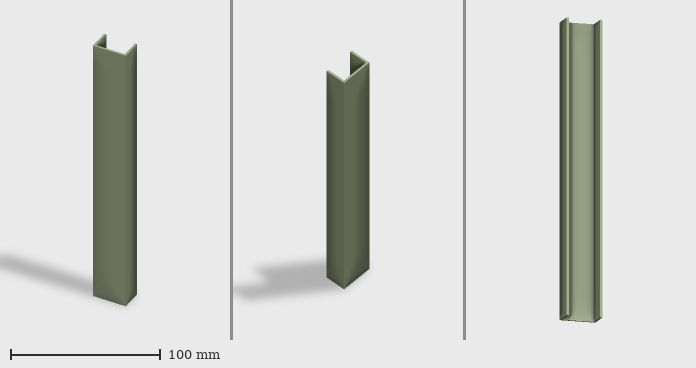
import cadquery as cq

length = 204.0
width = 25.0
depth = 16.0
wall = 1.6

inner_width = width - 2 * wall
inner_depth = depth - wall

outer_bar = cq.Workplane("XY").box(width, depth, length, centered=(True, False, False))

channel = (
    cq.Workplane("XY")
    .box(inner_width, inner_depth, length, centered=(True, False, False))
    .translate((0, wall, 0))
)

result = outer_bar.cut(channel)